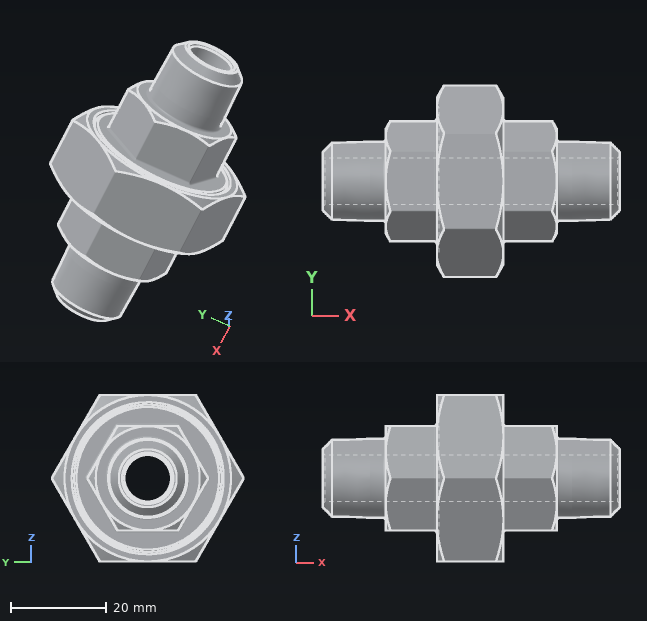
import cadquery as cq
import math

total_length = 62.5

thread_diameter = 16.7
thread_taper = 1 / 16
taper_length = 10.0
end_chamfer = 2.0
end_length = 13.25
bore_diameter = 9.8
bore_chamfer = 0.5

small_hex_flats = 22.0
small_hex_face_diameter = 21.9

nut_flats = 35.0
nut_start = 24.0
nut_length = 14.0
groove_diameter = 31.0
groove_depth = 0.5

hex_edge_radius = 0.3
hex_chamfer_angle = 30.0
root_fillet = 0.5
selection_margin = 0.005

nut_end = nut_start + nut_length
small_hex_end = total_length - end_length


def corner_radius(flats):
    """Distance from the axis to the sharp corners of a hexagon."""
    return flats / 2 / math.cos(math.radians(30))


def revolved(profile):
    """Solid of revolution about X from (x, radius) points."""
    return cq.Workplane("XY").polyline(profile).close().revolve(360, (0, 0, 0), (1, 0, 0))


def mirrored(body):
    """Copy of a body at the opposite end of the union."""
    return body.mirror("YZ", (total_length / 2, 0, 0))


def corner_chamfer_cone(flats, start, face_diameter):
    """Cone widening toward +X to the hexagon corners, then a cylinder to the far end."""
    outer = corner_radius(flats)
    face_radius = face_diameter / 2
    chamfer_length = (outer - face_radius) * math.tan(math.radians(hex_chamfer_angle))
    return revolved([
        (start, 0),
        (start, face_radius),
        (start + chamfer_length, outer),
        (total_length, outer),
        (total_length, 0),
    ])


def hex_prism(flats, start, end):
    """Hexagon along X with flats facing +Z and -Z and softened corners."""
    return (
        cq.Workplane("YZ", origin=(start, 0, 0))
        .polygon(6, 2 * corner_radius(flats))
        .extrude(end - start)
        .edges("|X")
        .fillet(hex_edge_radius)
    )


def union_nut():
    left_cone = corner_chamfer_cone(nut_flats, nut_start, nut_flats)
    right_cone = mirrored(corner_chamfer_cone(nut_flats, total_length - nut_end, nut_flats))
    return hex_prism(nut_flats, nut_start, nut_end).intersect(left_cone).intersect(right_cone)


def small_hex(length):
    """Small hexagon behind the left male end."""
    cone = corner_chamfer_cone(small_hex_flats, end_length, small_hex_face_diameter)
    return hex_prism(small_hex_flats, end_length, end_length + length).intersect(cone)


def male_end():
    """Left male end: tip chamfer, taper, then a short cylinder up to the hexagon."""
    radius = thread_diameter / 2
    tip_radius = radius - (taper_length - end_chamfer) * thread_taper / 2
    return revolved([
        (0, 0),
        (0, tip_radius - end_chamfer),
        (end_chamfer, tip_radius),
        (taper_length, radius),
        (end_length, radius),
        (end_length, 0),
    ])


def fillet_root(body, face_x, reach):
    """Round the inside corner on the plane x = face_x, within reach of the axis."""
    span = reach + selection_margin
    near_root = cq.selectors.BoxSelector(
        (face_x - selection_margin, -span, -span),
        (face_x + selection_margin, span, span),
        boundingbox=True,
    )
    return body.edges(near_root).fillet(root_fillet)


def groove():
    """V groove between the nut and the insert it holds."""
    root_radius = groove_diameter / 2
    return revolved([
        (nut_start, root_radius - groove_depth),
        (nut_start + groove_depth, root_radius),
        (nut_start, root_radius + groove_depth),
    ])


def bore():
    """Through bore with a chamfer at both mouths."""
    radius = bore_diameter / 2
    mouth_radius = radius + bore_chamfer
    return revolved([
        (0, 0),
        (0, mouth_radius),
        (bore_chamfer, radius),
        (total_length - bore_chamfer, radius),
        (total_length, mouth_radius),
        (total_length, 0),
    ])


result = (
    union_nut()
    .union(small_hex(nut_start - end_length))
    .union(mirrored(small_hex(small_hex_end - nut_end)))
    .union(male_end())
    .union(mirrored(male_end()))
)

for nut_face in (nut_start, nut_end):
    result = fillet_root(result, nut_face, corner_radius(small_hex_flats))

for hex_face in (end_length, small_hex_end):
    result = fillet_root(result, hex_face, thread_diameter / 2)

result = result.cut(groove()).cut(bore())